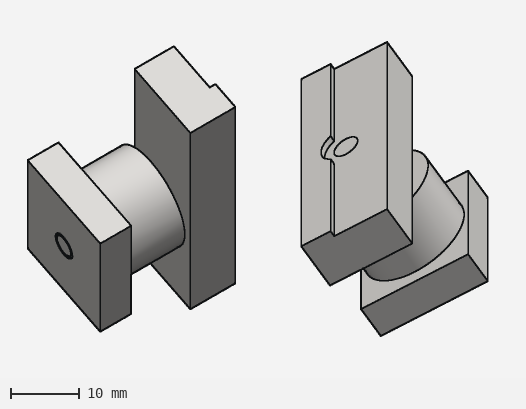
import cadquery as cq

flange_width = 18.2
flange_height = 22.0
flange_thickness = 5.5
boss_diameter = 16.9
boss_length = 10.0
bore_diameter = 4.22

pin_diameter = 4.0
pin_chamfer = 0.25
knob_gap = 2.02

plate_width = 14.0
plate_height = 44.0
plate_thickness = 7.0
ledge_height = 1.0
ledge_start_x = 2.0
relief_radius = 3.6

boss_end_y = flange_thickness + boss_length
plate_front_y = boss_end_y + knob_gap
plate_back_y = plate_front_y + plate_thickness
ledge_back_y = plate_back_y + ledge_height


def cylinder_along_y(radius, start_y, end_y):
    """Cylinder centred on the Y axis between two stations."""
    return (
        cq.Workplane("XZ", origin=(0, start_y, 0))
        .circle(radius)
        .extrude(start_y - end_y)
    )


def make_knob():
    """Flange and boss in one piece, bored through with clearance for the pin."""
    flange = cq.Workplane("XY").box(
        flange_width, flange_thickness, flange_height, centered=(True, False, True)
    )
    boss = cylinder_along_y(boss_diameter / 2, flange_thickness, boss_end_y)
    bore = cylinder_along_y(bore_diameter / 2, 0, boss_end_y)
    return flange.union(boss).cut(bore)


def make_pin():
    """Pin flush with the flange front, with a chamfered front end."""
    pin = cylinder_along_y(pin_diameter / 2, 0, plate_back_y)
    return pin.faces("<Y").chamfer(pin_chamfer)


def make_back_plate():
    """Stepped plate with a pin hole and a round relief through the ledge."""
    half_width = plate_width / 2
    plate = (
        cq.Workplane("XY")
        .polyline([
            (-half_width, plate_front_y),
            (half_width, plate_front_y),
            (half_width, ledge_back_y),
            (ledge_start_x, ledge_back_y),
            (ledge_start_x, plate_back_y),
            (-half_width, plate_back_y),
        ])
        .close()
        .extrude(plate_height / 2, both=True)
    )
    pin_hole = cylinder_along_y(pin_diameter / 2, plate_front_y, plate_back_y)
    relief = cylinder_along_y(relief_radius, plate_back_y, ledge_back_y)
    return plate.cut(pin_hole).cut(relief)


knob = make_knob()
pin = make_pin()
back_plate = make_back_plate()

result = cq.Compound.makeCompound([knob.val(), pin.val(), back_plate.val()])